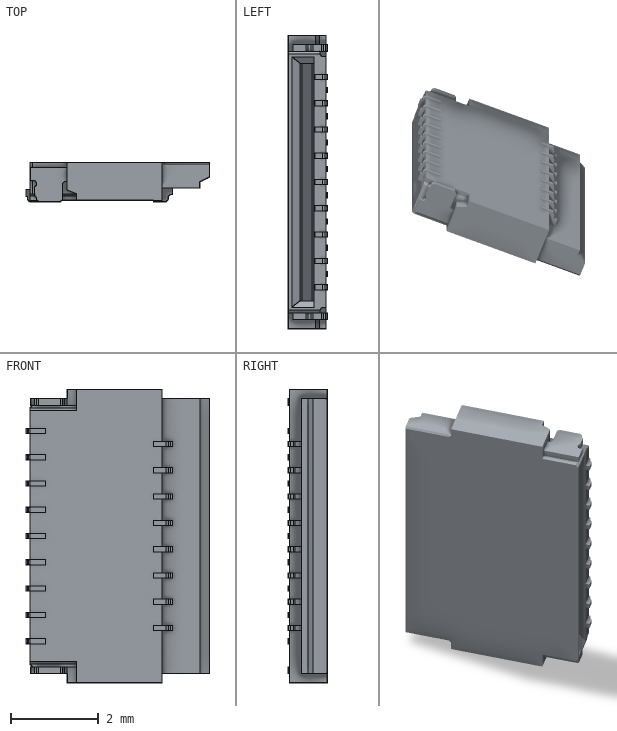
import cadquery as cq


THICKNESS = 0.87
BODY_END_X = 3.02
BODY_HALF_LENGTH = 3.35
SHOULDER_X = 0.85
SHOULDER_FOOT_X = 1.065
SHOULDER_SLOPE_TOP_Y = 0.24
SHOULDER_SLOPE_LOW_Y = 0.15

NOSE_HALF_LENGTH = 2.985
NOSE_EDGE = 0.06
NOSE_STEP_Y = 0.145
NOSE_SLOPE_LOW_Y = 0.1

SLOT_LOW_Y = 0.275
SLOT_HIGH_Y = 0.785
SLOT_HALF_LENGTH = 2.86
INNER_HIGH_Y = 0.595
INNER_HALF_LENGTH = 2.71
LEAD_IN_DEPTH = 0.13
SLOT_DEPTH = 1.5
SLOT_RAMP = 0.043

LATCH_END_X = 4.107
LATCH_HALF_LENGTH = 3.14
LATCH_LOW_Y = 0.28
LATCH_STEP_X = 3.88
LATCH_STEP_Y = 0.42
LATCH_LIP_Y = 0.535
LATCH_CHAMFER = 0.04
LATCH_CHAMFER_START_X = 3.06

PITCH = 0.6
CONTACT_WIDTH = 0.12
FRONT_COUNT = 9
REAR_COUNT = 8
FOOT_Y = -0.03
EMBED = 0.05

FRONT_TIP_X = -0.093
FRONT_TOP_Y = 0.25
FRONT_STEP_Y = 0.085
FRONT_SHANK_X = -0.055
FRONT_HEEL_X = -0.03
FRONT_FOOT_END_X = 0.36

REAR_TIP_X = 3.26
REAR_STEP_Y = 0.13
REAR_NECK_X = 3.21
REAR_SHANK_X = 3.165
REAR_HEEL_X = 3.11
REAR_FOOT_END_X = 2.82
BEND_TOP_Y = 0.1
BEND_LOW_Y = 0.03

TAB_HALF_LENGTH = LATCH_HALF_LENGTH
TAB_FRONT_X = 0.02
TAB_TOP_Y = 0.755
TAB_REAR_X = 0.75
TAB_REAR_STEP_Y = 0.43
TAB_LOBE_Y = 0.455
TAB_NOTCH_X = 0.15
TAB_TOOTH_X = 0.11
TAB_TOOTH_TOP_Y = 0.305
TAB_TOOTH_LOW_Y = 0.105
TAB_BEVEL = 0.04
TAB_FOOT_BEVEL = 0.05


def prism(points, z_low, z_high):
    """Extrude an XY outline between two heights."""
    base = cq.Workplane("XY").workplane(offset=z_low)
    return base.polyline(points).close().extrude(z_high - z_low)


def symmetric_prism(points, half_length):
    return prism(points, -half_length, half_length)


def make_shoulders():
    outline = [
        (SHOULDER_X, THICKNESS),
        (BODY_END_X, THICKNESS),
        (BODY_END_X, 0),
        (SHOULDER_FOOT_X, 0),
        (SHOULDER_FOOT_X, SHOULDER_SLOPE_LOW_Y),
        (SHOULDER_X, SHOULDER_SLOPE_TOP_Y),
    ]
    return symmetric_prism(outline, BODY_HALF_LENGTH)


def make_nose():
    """Nose that steps and slopes narrower towards the mounting face."""
    wide = NOSE_HALF_LENGTH
    middle = wide - NOSE_EDGE
    narrow = middle - NOSE_EDGE
    half_section = [
        (THICKNESS, wide),
        (NOSE_STEP_Y, wide),
        (NOSE_STEP_Y, middle),
        (NOSE_SLOPE_LOW_Y, narrow),
        (0, narrow),
    ]
    section = half_section + [(y, -z) for y, z in reversed(half_section)]
    nose = cq.Workplane("YZ").polyline(section).close().extrude(SHOULDER_FOOT_X)
    for side in (1, -1):
        corner = [(0, side * wide), (NOSE_EDGE, side * wide), (0, side * middle)]
        bevel = cq.Workplane("XZ").polyline(corner).close().extrude(-THICKNESS)
        nose = nose.cut(bevel)
    return nose


def slot_rectangle(high_y, half_length):
    return [
        (SLOT_LOW_Y, -half_length),
        (high_y, -half_length),
        (high_y, half_length),
        (SLOT_LOW_Y, half_length),
    ]


def make_slot():
    """Slot with lead-in tapers on its high wall and both ends, ramped at its depth."""
    lead_in = (
        cq.Workplane("YZ")
        .polyline(slot_rectangle(SLOT_HIGH_Y, SLOT_HALF_LENGTH)).close()
        .workplane(offset=LEAD_IN_DEPTH)
        .polyline(slot_rectangle(INNER_HIGH_Y, INNER_HALF_LENGTH)).close()
        .loft(ruled=True)
    )
    cavity = [
        (LEAD_IN_DEPTH, SLOT_LOW_Y),
        (SLOT_DEPTH - SLOT_RAMP, SLOT_LOW_Y),
        (SLOT_DEPTH, SLOT_LOW_Y + SLOT_RAMP),
        (SLOT_DEPTH, INNER_HIGH_Y - SLOT_RAMP),
        (SLOT_DEPTH + SLOT_RAMP, INNER_HIGH_Y),
        (LEAD_IN_DEPTH, INNER_HIGH_Y),
    ]
    return lead_in.union(symmetric_prism(cavity, INNER_HALF_LENGTH))


def make_latch():
    outline = [
        (BODY_END_X, THICKNESS),
        (LATCH_END_X, THICKNESS),
        (LATCH_END_X, LATCH_LIP_Y),
        (LATCH_STEP_X, LATCH_STEP_Y),
        (LATCH_STEP_X, LATCH_LOW_Y),
        (BODY_END_X, LATCH_LOW_Y),
    ]
    latch = symmetric_prism(outline, LATCH_HALF_LENGTH)
    for side in (1, -1):
        end_z = side * LATCH_HALF_LENGTH
        corner = [
            (THICKNESS, end_z),
            (THICKNESS - LATCH_CHAMFER, end_z),
            (THICKNESS, end_z - side * LATCH_CHAMFER),
        ]
        chamfer = (
            cq.Workplane("YZ", origin=(LATCH_CHAMFER_START_X, 0, 0))
            .polyline(corner).close()
            .extrude(LATCH_END_X - LATCH_CHAMFER_START_X)
        )
        latch = latch.cut(chamfer)
    return latch


def contact_row(outline, count):
    first_z = -PITCH * (count - 1) / 2
    half_width = CONTACT_WIDTH / 2
    row = cq.Workplane("XY")
    for index in range(count):
        z = first_z + PITCH * index
        row = row.union(prism(outline, z - half_width, z + half_width))
    return row


def make_front_contacts():
    outline = [
        (EMBED, FRONT_TOP_Y),
        (FRONT_TIP_X, FRONT_TOP_Y),
        (FRONT_TIP_X, FRONT_STEP_Y),
        (FRONT_SHANK_X, FRONT_STEP_Y),
        (FRONT_SHANK_X, BEND_LOW_Y),
        (FRONT_HEEL_X, FOOT_Y / 2),
        (0, FOOT_Y),
        (FRONT_FOOT_END_X, FOOT_Y),
        (FRONT_FOOT_END_X, EMBED),
        (EMBED, EMBED),
    ]
    return contact_row(outline, FRONT_COUNT)


def make_rear_contacts():
    root_x = BODY_END_X - EMBED
    outline = [
        (root_x, LATCH_LOW_Y),
        (REAR_TIP_X, LATCH_LOW_Y),
        (REAR_TIP_X, REAR_STEP_Y),
        (REAR_NECK_X, REAR_STEP_Y),
        (REAR_SHANK_X, BEND_TOP_Y),
        (REAR_SHANK_X, BEND_LOW_Y),
        (REAR_HEEL_X, FOOT_Y),
        (REAR_FOOT_END_X, FOOT_Y),
        (REAR_FOOT_END_X, EMBED),
        (root_x, EMBED),
    ]
    return contact_row(outline, REAR_COUNT)


def make_tabs():
    """Notched plates on both ends of the nose, anchored in the shoulders."""
    root_x = SHOULDER_X + EMBED
    foot_bevel_y = FOOT_Y + TAB_FOOT_BEVEL
    outline = [
        (TAB_FRONT_X, TAB_TOP_Y),
        (root_x, TAB_TOP_Y),
        (root_x, TAB_REAR_STEP_Y),
        (TAB_REAR_X + TAB_BEVEL, TAB_REAR_STEP_Y),
        (TAB_REAR_X, TAB_REAR_STEP_Y - TAB_BEVEL),
        (TAB_REAR_X, foot_bevel_y),
        (TAB_REAR_X - TAB_FOOT_BEVEL, FOOT_Y),
        (TAB_NOTCH_X + TAB_FOOT_BEVEL, FOOT_Y),
        (TAB_NOTCH_X, foot_bevel_y),
        (TAB_NOTCH_X, TAB_TOOTH_LOW_Y - TAB_BEVEL),
        (TAB_TOOTH_X, TAB_TOOTH_LOW_Y),
        (TAB_TOOTH_X, TAB_TOOTH_TOP_Y),
        (TAB_NOTCH_X, TAB_TOOTH_TOP_Y + TAB_BEVEL),
        (TAB_NOTCH_X, TAB_LOBE_Y - TAB_BEVEL),
        (TAB_NOTCH_X - TAB_BEVEL, TAB_LOBE_Y),
        (TAB_FRONT_X, TAB_LOBE_Y),
    ]
    upper = prism(outline, NOSE_HALF_LENGTH, TAB_HALF_LENGTH)
    lower = prism(outline, -TAB_HALF_LENGTH, -NOSE_HALF_LENGTH)
    return upper.union(lower)


housing = make_shoulders().union(make_nose()).union(make_latch()).cut(make_slot())
contacts = make_front_contacts().union(make_rear_contacts())
result = housing.union(contacts).union(make_tabs())